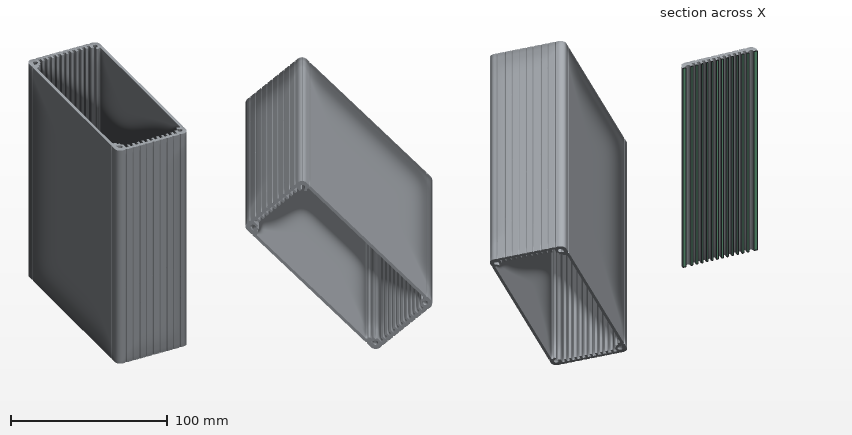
import cadquery as cq

width = 125.0
depth = 51.5
length = 160.0
corner_radius = 4.0

side_wall = 2.2
back_wall = 2.0
cover_wall = 2.0

fin_count = 10
fin_span = 31.5
fin_thickness = 1.5
fin_reach = 2.5
first_fin_from_back = 10.0

groove_radius = 0.5
side_groove_count = 9
side_groove_span = 39.0
back_groove_inset = 7.2

screw_radius = 1.6
screw_inset_x = 4.6
back_screw_inset_y = 4.0
front_screw_inset_y = 4.3

clip_floor = 7.4
clip_arm_reach = 5.6
clip_hook_start = 5.8
clip_hook_end = 7.7
clip_hook_drop = 4.0
clip_tip_inset = 7.5
clip_tip_radius = 1.0
clip_root_fillet = 0.8

seam_inset = 8.5
seam_chamfer = 0.6
slot_inset = 5.3
slot_bottom = 2.5
slot_top = 4.3
tongue_inset = 6.5
tongue_chamfer = 0.6
finger_top = 6.0
finger_root_inset = 6.7
shoulder_inset = 6.0
shoulder_top = 7.4
cover_rib_inset = 10.4
cover_rib_bevel = 0.8

left = -width / 2
right = width / 2
front = -depth / 2
back = depth / 2


def corner_points(insets):
    """Turn (inset from left side, inset from front) pairs into section points."""
    return [(left + x, front + y) for x, y in insets]


def symmetric_prism(half_outline):
    """Extrude an outline whose left half runs from the middle plane back to it."""
    right_half = [(-x, y) for x, y in reversed(half_outline) if x != 0]
    return cq.Workplane("XY").polyline(half_outline + right_half).close().extrude(length)


def box(x_min, x_max, y_min, y_max):
    """Full-length bar between the given section limits."""
    return (
        cq.Workplane("XY")
        .center((x_min + x_max) / 2, (y_min + y_max) / 2)
        .rect(x_max - x_min, y_max - y_min)
        .extrude(length)
    )


def rods(centres, radius):
    """Full-length round bars at the given section points."""
    return cq.Workplane("XY").pushPoints(centres).circle(radius).extrude(length)


def on_both_sides(solid):
    """Join a left-hand feature with its mirror image on the right."""
    return solid.union(solid.mirror("YZ"))


def make_shell():
    """Rounded channel, open at the front, with slotted front corners for the cover."""
    outer = cq.Workplane("XY").rect(width, depth).extrude(length).edges("|Z").fillet(corner_radius)
    front_corner = corner_points([
        (side_wall, shoulder_top),
        (shoulder_inset, shoulder_top),
        (finger_root_inset, finger_top),
        (seam_inset, finger_top),
        (seam_inset, slot_top),
        (slot_inset, slot_top),
        (slot_inset, slot_bottom),
        (seam_inset, slot_bottom),
        (seam_inset, seam_chamfer),
        (seam_inset - seam_chamfer, 0),
    ])
    back_corner = [(0, back - back_wall), (left + side_wall, back - back_wall)]
    interior = symmetric_prism(back_corner + front_corner + [(0, front)])
    return outer.cut(interior)


def make_back_clips():
    """Solid blanks of the clips; the screw channels hollow them out."""
    arm = box(left + side_wall / 2, left + clip_arm_reach, back - clip_floor, back - back_screw_inset_y)
    root = box(left + side_wall / 2, left + clip_hook_start, back - back_screw_inset_y, back - back_wall / 2)
    hook = box(left + clip_hook_start, left + clip_hook_end, back - clip_hook_drop, back - back_wall / 2)
    tip = rods([(left + clip_tip_inset, back - clip_hook_drop)], clip_tip_radius)
    return on_both_sides(arm.union(root).union(hook).union(tip))


def make_fins():
    pitch = fin_span / (fin_count - 1)
    centres = [back - first_fin_from_back - i * pitch for i in range(fin_count)]
    fin_tip = left + side_wall + fin_reach
    fins = cq.Workplane("XY")
    for y in centres:
        fin = box(left + side_wall / 2, fin_tip, y - fin_thickness / 2, y + fin_thickness / 2)
        fins = fins.union(fin)
    return on_both_sides(fins)


def make_screw_channels():
    centres = [
        (left + screw_inset_x, back - back_screw_inset_y),
        (left + screw_inset_x, front + front_screw_inset_y),
    ]
    return on_both_sides(rods(centres, screw_radius))


def make_grooves():
    pitch = side_groove_span / (side_groove_count - 1)
    first = -side_groove_span / 2
    centres = [(left, first + i * pitch) for i in range(side_groove_count)]
    centres.append((left + back_groove_inset, back))
    return on_both_sides(rods(centres, groove_radius))


def make_housing():
    housing = make_shell().union(make_back_clips()).union(make_fins())
    for x in (left + clip_hook_end, right - clip_hook_end):
        root = cq.selectors.NearestToPointSelector((x, back - back_wall, length / 2))
        housing = housing.edges("|Z").edges(root).fillet(clip_root_fillet)
    return housing.cut(make_screw_channels()).cut(make_grooves())


def make_cover():
    """Front plate whose side tongues fill the housing slots."""
    corner = corner_points([
        (seam_inset + seam_chamfer, 0),
        (seam_inset, seam_chamfer),
        (seam_inset, slot_bottom),
        (tongue_inset + tongue_chamfer, slot_bottom),
        (tongue_inset, slot_bottom + tongue_chamfer),
        (tongue_inset, slot_top),
        (cover_rib_inset - cover_rib_bevel, slot_top),
        (cover_rib_inset, slot_top - cover_rib_bevel),
        (cover_rib_inset, cover_wall + cover_rib_bevel),
        (cover_rib_inset + cover_rib_bevel, cover_wall),
    ])
    return symmetric_prism([(0, front)] + corner + [(0, front + cover_wall)])


housing = make_housing()
cover = make_cover()

result = cq.Compound.makeCompound([housing.val(), cover.val()])